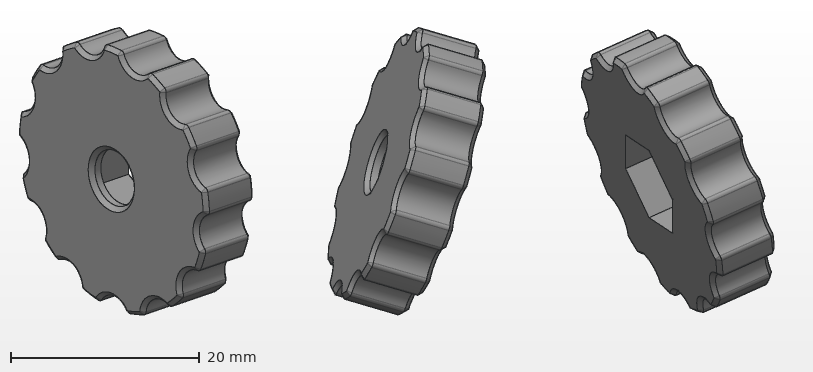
import cadquery as cq

outer_diameter = 30.0
thickness = 7.0
rim_chamfer = 0.48

scallop_count = 13
scallop_radius = 2.5
scallop_floor_radius = 13.5
tooth_corner_fillet = 0.5

bore_diameter = 6.25
bore_chamfer = 0.5
nut_across_flats = 10.0
nut_pocket_depth = 5.65
hexagon_sides = 6

back_y = thickness / 2
scallop_centre_radius = scallop_floor_radius + scallop_radius
first_scallop_angle = 90 + 180 / scallop_count


def back_plane():
    """Sketch plane on the back face; extruding goes towards the front."""
    return cq.Workplane("XZ", origin=(0, back_y, 0))


def scalloped_wheel():
    """Disc with scallops, rounded tooth corners and both rim edges chamfered."""
    disc = back_plane().circle(outer_diameter / 2).extrude(thickness)
    scallops = (
        back_plane()
        .polarArray(scallop_centre_radius, first_scallop_angle, 360, scallop_count)
        .circle(scallop_radius)
        .extrude(thickness)
    )
    toothed = disc.cut(scallops).edges("|Y").fillet(tooth_corner_fillet)
    return toothed.faces("<Y or >Y").edges().chamfer(rim_chamfer)


def add_bore(body):
    """Through bore with a 45 degree chamfer at the front face."""
    countersink_diameter = bore_diameter + 2 * bore_chamfer
    front_centre = body.faces("<Y").workplane(origin=(0, 0, 0))
    return front_centre.cskHole(bore_diameter, countersink_diameter, 90)


def nut_pocket():
    """Hexagonal pocket volume with two corners on the X axis."""
    hexagon = back_plane().polygon(hexagon_sides, nut_across_flats, circumscribed=True)
    return hexagon.extrude(nut_pocket_depth)


result = add_bore(scalloped_wheel()).cut(nut_pocket())